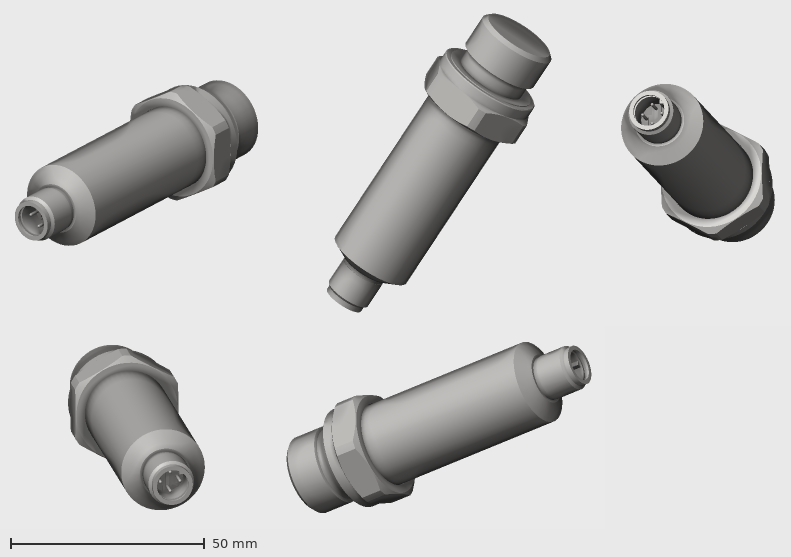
import cadquery as cq
import math


TIP_D = 10.5
TIP_CHAMFER_START_Y = 1.45
CONNECTOR_D = 12.0
CONNECTOR_START_Y = 2.1
CONNECTOR_END_Y = 9.4
NECK_D = 11.7

CONE_SMALL_D = 13.2
CONE_START_Y = 10.5
BARREL_D = 22.0
BARREL_START_Y = 13.1

HEX_START_Y = 60.9
HEX_END_Y = 68.5
HEX_ACROSS_FLATS = 27.0
HEX_CORNER_D = 30.0
HEX_FACE_D = 26.7
HEX_CHAMFER_ANGLE = 30.0
HEX_RECESS_D = 22.3
HEX_RECESS_DEPTH = 0.85
FLANGE_D = 27.0
FLANGE_END_Y = 71.5
FLANGE_CHAMFER = 0.25
SEAL_FACE_D = 24.0
SEAL_FACE_Y = 71.7

UNDERCUT_D = 18.4
UNDERCUT_END_Y = 74.8
RUNOUT_D = 19.2
RUNOUT_Y = 75.8
THREAD_D = 20.95
THREAD_START_Y = 76.1
THREAD_END_D = 18.7
LENGTH = 85.5

SOCKET_D = 8.3
SOCKET_DEPTH = 7.7
SOCKET_GROOVE_D = 9.4
SOCKET_GROOVE_START_Y = 0.7
SOCKET_GROOVE_END_Y = 1.6
RELIEF_DEPTH = 0.4
PLATE_TOP_Z = 1.2
TAB_HALF_WIDTH = 1.2
TAB_TOP_Z = 3.5
LOWER_RELIEF_TOP_Z = -2.4
LOWER_RELIEF_INNER_X = 2.0
KEY_CORNER = 2.2
KEY_TOP_Y = 2.1

PIN_D = 0.8
PIN_OFFSET = 2.6
PIN_TOP_Y = 3.0
BLADE_HEIGHT = 0.4
SIDE_BLADE_BOTTOM_Z = -1.9


def cylinder(diameter, start_y, end_y):
    """Cylinder on the Y axis between two stations."""
    section = cq.Workplane("XZ", origin=(0, start_y, 0)).circle(diameter / 2)
    return section.extrude(start_y - end_y)


def revolve_about_y(points):
    """Solid of revolution from (radius, station) points."""
    return cq.Workplane("XY").polyline(points).close().revolve(360, (0, 0, 0), (0, 1, 0))


def prism(points, start_y, end_y):
    """Prism along Y from an outline of (x, z) points."""
    outline = cq.Workplane("XZ", origin=(0, start_y, 0)).polyline(points).close()
    return outline.extrude(start_y - end_y)


def rectangle(x0, x1, z0, z1):
    return [(x0, z0), (x1, z0), (x1, z1), (x0, z1)]


def make_turned_body():
    thread_chamfer = (THREAD_D - THREAD_END_D) / 2
    rise = (RUNOUT_D - UNDERCUT_D) / 2
    run = RUNOUT_Y - UNDERCUT_END_Y
    fillet_radius = (rise**2 + run**2) / (2 * rise)
    mid_angle = math.asin(run / fillet_radius) / 2
    fillet_mid = (
        UNDERCUT_D / 2 + fillet_radius * (1 - math.cos(mid_angle)),
        UNDERCUT_END_Y + fillet_radius * math.sin(mid_angle),
    )
    profile = (
        cq.Workplane("XY")
        .moveTo(0, 0)
        .lineTo(TIP_D / 2, 0)
        .lineTo(TIP_D / 2, TIP_CHAMFER_START_Y)
        .lineTo(CONNECTOR_D / 2, CONNECTOR_START_Y)
        .lineTo(CONNECTOR_D / 2, CONNECTOR_END_Y)
        .lineTo(NECK_D / 2, CONNECTOR_END_Y)
        .lineTo(NECK_D / 2, CONE_START_Y)
        .lineTo(CONE_SMALL_D / 2, CONE_START_Y)
        .lineTo(BARREL_D / 2, BARREL_START_Y)
        .lineTo(BARREL_D / 2, HEX_END_Y)
        .lineTo(FLANGE_D / 2, HEX_END_Y)
        .lineTo(FLANGE_D / 2, FLANGE_END_Y - FLANGE_CHAMFER)
        .lineTo(FLANGE_D / 2 - FLANGE_CHAMFER, FLANGE_END_Y)
        .lineTo(SEAL_FACE_D / 2, FLANGE_END_Y)
        .lineTo(SEAL_FACE_D / 2, SEAL_FACE_Y)
        .lineTo(UNDERCUT_D / 2, SEAL_FACE_Y)
        .lineTo(UNDERCUT_D / 2, UNDERCUT_END_Y)
        .threePointArc(fillet_mid, (RUNOUT_D / 2, RUNOUT_Y))
        .lineTo(THREAD_D / 2, THREAD_START_Y)
        .lineTo(THREAD_D / 2, LENGTH - thread_chamfer)
        .lineTo(THREAD_END_D / 2, LENGTH)
        .lineTo(0, LENGTH)
        .close()
    )
    return profile.revolve(360, (0, 0, 0), (0, 1, 0))


def make_hexagon():
    """Hexagon with corners on Z, rounded corners and chamfered ends, hollow for the barrel."""
    corner_radius = HEX_ACROSS_FLATS / math.sqrt(3)
    corners = []
    for index in range(6):
        angle = math.radians(90 + 60 * index)
        corners.append((corner_radius * math.cos(angle), corner_radius * math.sin(angle)))
    slope = math.tan(math.radians(HEX_CHAMFER_ANGLE))
    chamfer_length = (HEX_CORNER_D - HEX_FACE_D) / 2 * slope
    envelope = revolve_about_y([
        (0, HEX_START_Y),
        (HEX_FACE_D / 2, HEX_START_Y),
        (HEX_CORNER_D / 2, HEX_START_Y + chamfer_length),
        (HEX_CORNER_D / 2, HEX_END_Y - chamfer_length),
        (HEX_FACE_D / 2, HEX_END_Y),
        (0, HEX_END_Y),
    ])
    recess = cylinder(HEX_RECESS_D, HEX_START_Y, HEX_START_Y + HEX_RECESS_DEPTH)
    return prism(corners, HEX_START_Y, HEX_END_Y).intersect(envelope).cut(recess)


def make_socket():
    """Socket bore with a ring groove near its mouth and shallow reliefs in its floor."""
    reach = SOCKET_D / 2
    relief_end_y = SOCKET_DEPTH + RELIEF_DEPTH
    upper = [
        (-reach, PLATE_TOP_Z),
        (-TAB_HALF_WIDTH, PLATE_TOP_Z),
        (-TAB_HALF_WIDTH, TAB_TOP_Z),
        (TAB_HALF_WIDTH, TAB_TOP_Z),
        (TAB_HALF_WIDTH, PLATE_TOP_Z),
        (reach, PLATE_TOP_Z),
        (reach, reach),
        (-reach, reach),
    ]
    reliefs = prism(upper, SOCKET_DEPTH, relief_end_y)
    drop = LOWER_RELIEF_TOP_Z + reach
    for side in (-1, 1):
        lower = [
            (side * TAB_HALF_WIDTH, LOWER_RELIEF_TOP_Z),
            (side * LOWER_RELIEF_INNER_X, LOWER_RELIEF_TOP_Z),
            (side * (LOWER_RELIEF_INNER_X + drop), -reach),
            (side * TAB_HALF_WIDTH, -reach),
        ]
        reliefs = reliefs.union(prism(lower, SOCKET_DEPTH, relief_end_y))
    reliefs = reliefs.intersect(cylinder(SOCKET_D, SOCKET_DEPTH, relief_end_y))
    groove = cylinder(SOCKET_GROOVE_D, SOCKET_GROOVE_START_Y, SOCKET_GROOVE_END_Y)
    return cylinder(SOCKET_D, 0, SOCKET_DEPTH).union(groove).union(reliefs)


def make_key():
    """Coding key along the socket wall, in the +X +Z corner, with its outer side in the wall."""
    reach = SOCKET_D / 2
    corner = prism(
        rectangle(KEY_CORNER, reach, KEY_CORNER, reach), KEY_TOP_Y, SOCKET_DEPTH + RELIEF_DEPTH
    )
    wall_d = (SOCKET_D + TIP_D) / 2
    return corner.intersect(cylinder(wall_d, 0, SOCKET_DEPTH + RELIEF_DEPTH))


def make_pin(x, z):
    """Contact pin with a domed tip, standing on the socket floor."""
    shank = cylinder(PIN_D, PIN_TOP_Y + PIN_D / 2, SOCKET_DEPTH + RELIEF_DEPTH)
    dome = cq.Workplane("XY").sphere(PIN_D / 2).translate((0, PIN_TOP_Y + PIN_D / 2, 0))
    return shank.union(dome).translate((x, 0, z))


def make_blade(x, bottom_z, top_z):
    """Flat blade on the socket floor, as wide as a pin."""
    outline = rectangle(x - PIN_D / 2, x + PIN_D / 2, bottom_z, top_z)
    return prism(outline, SOCKET_DEPTH - BLADE_HEIGHT, SOCKET_DEPTH + RELIEF_DEPTH)


result = make_turned_body().union(make_hexagon()).cut(make_socket()).union(make_key())

blade_end = PIN_OFFSET + PIN_D / 2
result = result.union(make_blade(0, -blade_end, blade_end))
for side in (-PIN_OFFSET, PIN_OFFSET):
    result = result.union(make_blade(side, SIDE_BLADE_BOTTOM_Z, PIN_D / 2))
    result = result.union(make_pin(side, 0))
    result = result.union(make_pin(0, side))